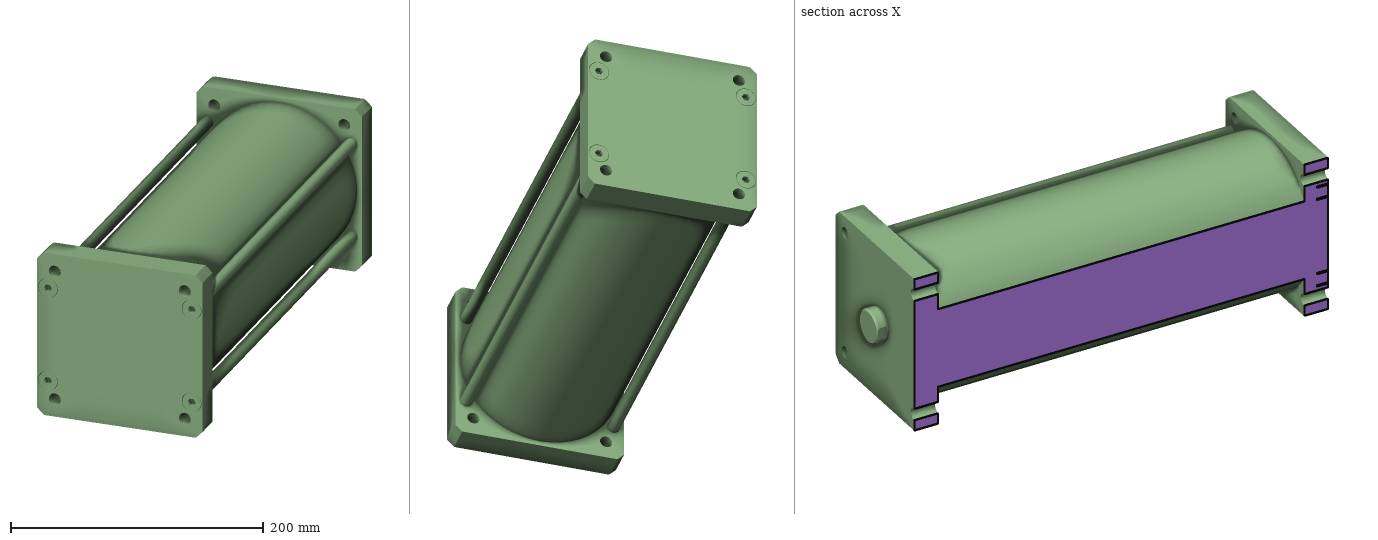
import cadquery as cq
import math

total_length = 388.0
plate_side = 140.0
plate_thickness = 22.0
corner_circle_diameter = 190.0

stub_length = 10.0
stub_diameter = 30.0
stub_end_chamfer = 1.5
stub_collar_length = 1.5
stub_flat_gap = 28.0

tube_diameter = 132.0
tie_rod_diameter = 10.0
tie_rod_x = 61.0
tie_rod_z = 40.0

mount_hole_diameter = 10.0
mount_hole_offset = 55.0

screw_head_diameter = 16.0
counterbore_diameter = 16.5
counterbore_depth = 10.0
hex_across_flats = 6.0
hex_depth = 5.0

front_face_y = -total_length / 2
stub_end_y = total_length / 2
back_face_y = stub_end_y - stub_length
back_plate_y = back_face_y - plate_thickness
plate_gap_y = front_face_y + plate_thickness
plate_gap = back_plate_y - plate_gap_y


def plane_at(y):
    """Sketch plane at position y whose extrusions run toward +Y; local axes are -X and Z."""
    return cq.Workplane(cq.Plane(origin=(0, y, 0), xDir=(-1, 0, 0), normal=(0, 1, 0)))


def four_points(x, z):
    """Positions mirrored about both the X and Z centre lines."""
    return [(sx * x, sz * z) for sx in (-1, 1) for sz in (-1, 1)]


def end_plate(y):
    """Square plate with corners turned to a circle about the axis, and four mounting holes."""
    plate = plane_at(y).rect(plate_side, plate_side).extrude(plate_thickness)
    disc = plane_at(y).circle(corner_circle_diameter / 2).extrude(plate_thickness)
    holes = (
        plane_at(y)
        .pushPoints(four_points(mount_hole_offset, mount_hole_offset))
        .circle(mount_hole_diameter / 2)
        .extrude(plate_thickness)
    )
    return plate.intersect(disc).cut(holes)


def rod_stub():
    """Short round rod end with two wrench flats above a full-round collar."""
    stub = plane_at(back_face_y).circle(stub_diameter / 2).extrude(stub_length)
    stub = stub.faces(">Y").chamfer(stub_end_chamfer)
    flats_length = stub_length - stub_collar_length
    cutter_width = stub_diameter
    cutter_x = (stub_flat_gap + cutter_width) / 2
    flat_cutters = (
        plane_at(back_face_y + stub_collar_length)
        .pushPoints([(-cutter_x, 0), (cutter_x, 0)])
        .rect(cutter_width, stub_diameter)
        .extrude(flats_length)
    )
    return stub.cut(flat_cutters)


def screw_recesses():
    """Thin clearance ring around each screw head and the hex socket in its centre."""
    centres = four_points(tie_rod_x, tie_rod_z)
    rings = (
        plane_at(front_face_y)
        .pushPoints(centres)
        .circle(counterbore_diameter / 2)
        .circle(screw_head_diameter / 2)
        .extrude(counterbore_depth)
    )
    hex_across_corners = hex_across_flats / math.cos(math.pi / 6)
    sockets = (
        plane_at(front_face_y)
        .pushPoints(centres)
        .polygon(6, hex_across_corners)
        .extrude(hex_depth)
    )
    return rings.union(sockets)


tube = plane_at(plate_gap_y).circle(tube_diameter / 2).extrude(plate_gap)

tie_rods = (
    plane_at(plate_gap_y)
    .pushPoints(four_points(tie_rod_x, tie_rod_z))
    .circle(tie_rod_diameter / 2)
    .extrude(plate_gap)
)

result = (
    end_plate(front_face_y)
    .union(end_plate(back_plate_y))
    .union(tube)
    .union(tie_rods)
    .union(rod_stub())
    .cut(screw_recesses())
)